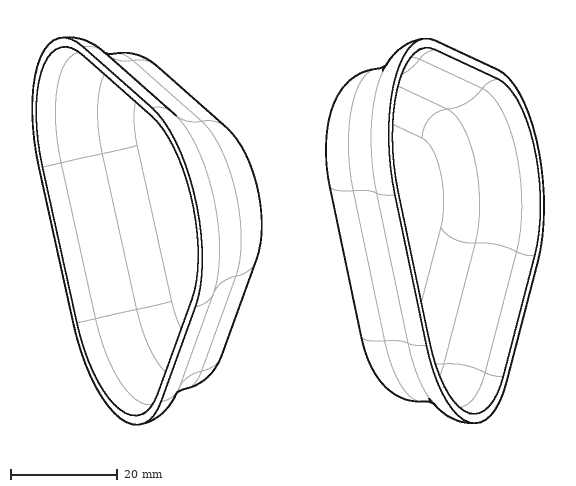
import cadquery as cq
import math

side_length = 30.1
corner_radius = 22.2
depth = 17.35
wall = 1.8

lip_radius = 5.95
neck_radius = 7.5
neck_inset = 4.9

corner_count = 3
sector_angle = 360 / corner_count
apothem = side_length / (2 * math.sqrt(3))

sweep_radius = lip_radius + neck_radius
bend_angle = math.acos(1 - neck_inset / sweep_radius)
neck_depth = sweep_radius * math.sin(bend_angle)
base_radius = depth - neck_depth

lip_center = (corner_radius - lip_radius, 0)
neck_center = (corner_radius - neck_inset + neck_radius, neck_depth)
base_center = (corner_radius - neck_inset - base_radius, neck_depth)


def arc_point(center, radius, angle):
    return (center[0] + radius * math.cos(angle), center[1] + radius * math.sin(angle))


def wall_section():
    """Wall and floor section, from the corner axis out to the rim."""
    inner_lip = lip_radius - wall
    inner_neck = neck_radius + wall
    inner_base = base_radius - wall
    half_bend = bend_angle / 2
    quarter = math.pi / 2
    return (
        cq.Workplane("XY")
        .moveTo(corner_radius, 0)
        .threePointArc(arc_point(lip_center, lip_radius, half_bend),
                       arc_point(lip_center, lip_radius, bend_angle))
        .threePointArc(arc_point(neck_center, neck_radius, math.pi + half_bend),
                       arc_point(neck_center, neck_radius, math.pi))
        .threePointArc(arc_point(base_center, base_radius, quarter / 2),
                       arc_point(base_center, base_radius, quarter))
        .lineTo(0, depth)
        .lineTo(0, depth - wall)
        .lineTo(base_center[0], depth - wall)
        .threePointArc(arc_point(base_center, inner_base, quarter / 2),
                       arc_point(base_center, inner_base, 0))
        .threePointArc(arc_point(neck_center, inner_neck, math.pi + half_bend),
                       arc_point(neck_center, inner_neck, math.pi + bend_angle))
        .threePointArc(arc_point(lip_center, inner_lip, half_bend),
                       arc_point(lip_center, inner_lip, 0))
        .close()
    )


def side_and_corner():
    """One straight side facing +X and the rounded corner at its -Z end."""
    start = (apothem, 0, -side_length / 2)
    side = wall_section().extrude(side_length).translate(start)
    corner = wall_section().revolve(sector_angle, (0, 0), (0, 1)).translate(start)
    return side.union(corner)


def floor_center():
    """Triangular floor plate joining the three corner axes."""
    half_side = side_length / 2
    return (
        cq.Workplane("XZ", origin=(0, depth, 0))
        .polyline([(-half_side, apothem), (half_side, apothem), (0, -2 * apothem)])
        .close()
        .extrude(wall)
    )


result = floor_center()
for index in range(corner_count):
    turn = -90 + index * sector_angle
    result = result.union(side_and_corner().rotate((0, 0, 0), (0, 1, 0), turn))
result = result.clean()